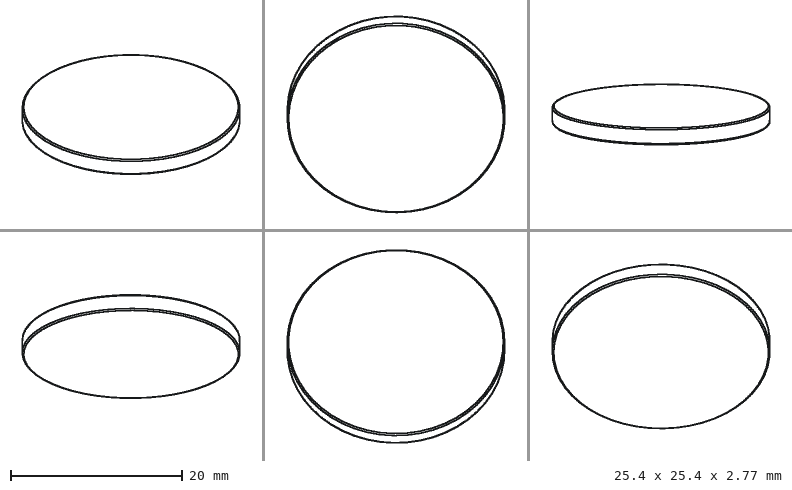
import cadquery as cq

diameter = 25.4
thickness = 2.77
dome_height = 0.75
bevel = 0.18

radius = diameter / 2
rim_radius = radius - bevel
rim_height = thickness - dome_height

sphere_radius = (rim_radius**2 + dome_height**2) / (2 * dome_height)

mid_radius = rim_radius / 2
mid_height = thickness - sphere_radius + (sphere_radius**2 - mid_radius**2) ** 0.5

profile = (
    cq.Workplane("XZ")
    .lineTo(rim_radius, 0)
    .lineTo(radius, bevel)
    .lineTo(radius, rim_height - bevel)
    .lineTo(rim_radius, rim_height)
    .threePointArc((mid_radius, mid_height), (0, thickness))
    .close()
)

result = profile.revolve(360, (0, 0, 0), (0, 1, 0))